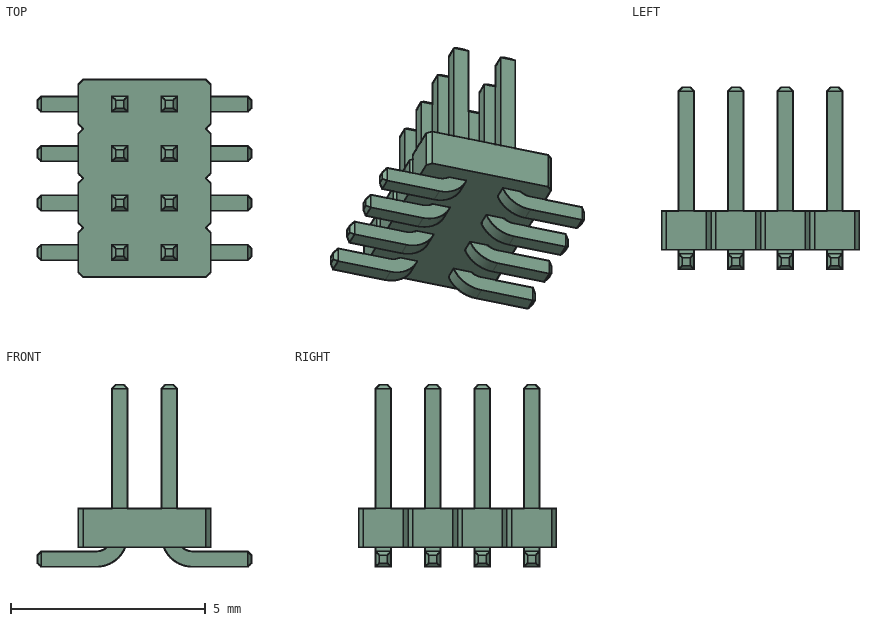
import cadquery as cq

rows = 4
pitch = 1.27
overall_length = 5.5
overall_height = 4.68

body_width = 3.405
body_height = 1.0
body_clearance = 0.5
notch_depth = 0.125

pin_width = 0.4
bend_radius = 0.4
tip_chamfer = 0.1

body_length = rows * pitch
pin_x = pitch / 2
pin_inner_x = pin_x - pin_width / 2
pin_outer_x = pin_x + pin_width / 2
outer_bend_radius = bend_radius + pin_width
bend_center_x = pin_outer_x + bend_radius
foot_end_x = overall_length / 2


def make_body():
    """Insulator block with a V notch at every cell boundary; the end notches leave cut corners."""
    block = (
        cq.Workplane("XY")
        .workplane(offset=body_clearance)
        .rect(body_width, body_length)
        .extrude(body_height)
    )
    for boundary in range(rows + 1):
        y = boundary * pitch - body_length / 2
        for side in (-1, 1):
            edge_x = side * body_width / 2
            notch = (
                cq.Workplane("XY")
                .workplane(offset=body_clearance)
                .moveTo(edge_x, y - notch_depth)
                .lineTo(edge_x - side * notch_depth, y)
                .lineTo(edge_x, y + notch_depth)
                .close()
                .extrude(body_height)
            )
            block = block.cut(notch)
    return block


def make_pin():
    """Square pin of the +X column, centred on Y = 0, bent outward into a flat foot."""
    pin = (
        cq.Workplane("XZ")
        .moveTo(pin_inner_x, overall_height)
        .lineTo(pin_inner_x, outer_bend_radius)
        .radiusArc((bend_center_x, 0), -outer_bend_radius)
        .lineTo(foot_end_x, 0)
        .lineTo(foot_end_x, pin_width)
        .lineTo(bend_center_x, pin_width)
        .radiusArc((pin_outer_x, outer_bend_radius), bend_radius)
        .lineTo(pin_outer_x, overall_height)
        .close()
        .extrude(pin_width / 2, both=True)
    )
    pin = pin.faces(">Z").chamfer(tip_chamfer)
    return pin.faces(">X").chamfer(tip_chamfer)


result = make_body()
right_pin = make_pin()
left_pin = right_pin.mirror("YZ")
for row in range(rows):
    row_y = (row - (rows - 1) / 2) * pitch
    for pin in (left_pin, right_pin):
        result = result.union(pin.translate((0, row_y, 0)))